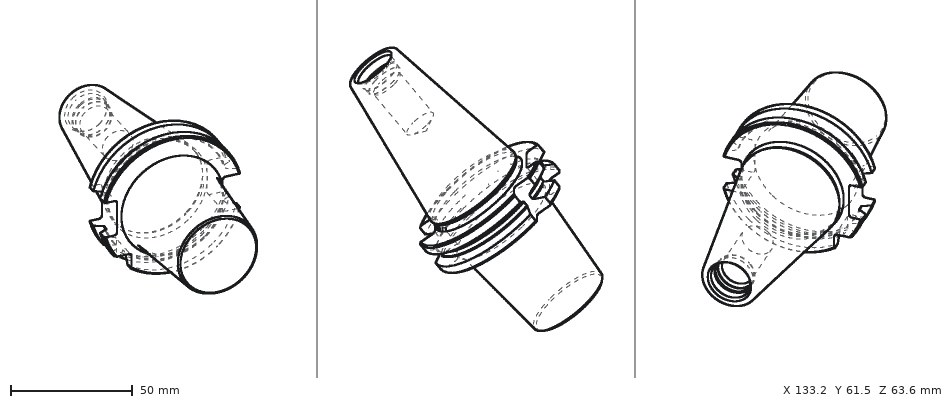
import cadquery as cq
import math

length = 133.2
taper_end = 67.7
neck_start = 68.9
neck_end = 70.5
flange_start = 71.7
flange_end = 87.1
shank_start = 90.0

small_end_radius = 12.3
gauge_radius = 22.3
neck_radius = 21.9
collar_radius = 22.7
flange_radius = 31.78
shoulder_radius = 23.0
shank_radius = 21.5
shank_end_radius = 17.9
end_chamfer = 0.8
end_round = 0.9
flange_chamfer = 0.7
shoulder_fillet = 4.0
neck_fillet = 1.3

groove_center = 79.4
groove_radius = 28.1
groove_floor_width = 2.1
groove_floor_fillet = 0.4
groove_wall_angle = 30.0

slot_half_width = 8.1
front_slot_depth_y = 24.9
back_slot_depth_y = 22.5
slot_fillet = 1.5
notch_y = -18.4
notch_z = -18.4

mouth_radius = 9.6
mouth_depth = 1.3
counterbore_radius = 8.7
counterbore_depth = 5.0
counterbore_step_length = 0.4
pilot_radius = 8.3
pilot_depth = 7.7
drill_radius = 6.9
drill_chamfer_radius = 8.0
drill_chamfer_depth = 1.6
drill_depth = 32.0
drill_point_angle = 118.0


def turned_body():
    """Solid of revolution about the X axis."""
    shank_slope = (shank_radius - shank_end_radius) / (length - shank_start)
    shank_rim_radius = shank_end_radius + shank_slope * end_chamfer
    half_floor = groove_floor_width / 2
    wall_angle = math.radians(groove_wall_angle)
    half_wall_foot = half_floor + groove_floor_fillet * math.cos(wall_angle)
    wall_foot_radius = groove_radius + groove_floor_fillet * (1 - math.sin(wall_angle))
    half_mouth = half_wall_foot + (flange_radius - wall_foot_radius) * math.tan(wall_angle)
    profile = (
        cq.Workplane("XY")
        .lineTo(0, small_end_radius)
        .lineTo(taper_end, gauge_radius)
        .lineTo(neck_start, neck_radius)
        .lineTo(neck_end, neck_radius)
        .radiusArc((flange_start, collar_radius), -neck_fillet)
        .lineTo(flange_start, flange_radius - flange_chamfer)
        .lineTo(flange_start + flange_chamfer, flange_radius)
        .lineTo(groove_center - half_mouth, flange_radius)
        .lineTo(groove_center - half_wall_foot, wall_foot_radius)
        .radiusArc((groove_center - half_floor, groove_radius), -groove_floor_fillet)
        .lineTo(groove_center + half_floor, groove_radius)
        .radiusArc((groove_center + half_wall_foot, wall_foot_radius), -groove_floor_fillet)
        .lineTo(groove_center + half_mouth, flange_radius)
        .lineTo(flange_end - flange_chamfer, flange_radius)
        .lineTo(flange_end, flange_radius - flange_chamfer)
        .lineTo(flange_end, shoulder_radius)
        .radiusArc((shank_start, shank_radius), -shoulder_fillet)
        .lineTo(length - end_chamfer, shank_rim_radius)
        .lineTo(length, shank_end_radius - end_chamfer)
        .lineTo(length, 0)
        .close()
    )
    body = profile.revolve(360, (0, 0, 0), (1, 0, 0))
    return body.faces("<X").edges().fillet(end_round)


def bore():
    """Chamfered, stepped hole with a conical drill point."""
    point_depth = drill_radius / math.tan(math.radians(drill_point_angle / 2))
    profile = (
        cq.Workplane("XY")
        .lineTo(0, mouth_radius)
        .lineTo(mouth_depth, counterbore_radius)
        .lineTo(counterbore_depth, counterbore_radius)
        .lineTo(counterbore_depth + counterbore_step_length, pilot_radius)
        .lineTo(pilot_depth, pilot_radius)
        .lineTo(pilot_depth, drill_chamfer_radius)
        .lineTo(pilot_depth + drill_chamfer_depth, drill_radius)
        .lineTo(drill_depth, drill_radius)
        .lineTo(drill_depth + point_depth, 0)
        .close()
    )
    return profile.revolve(360, (0, 0, 0), (1, 0, 0))


def flange_cutter(y_min, y_max, z_min, z_max, filleted_edges):
    """Block across the flange width with its inner corners rounded."""
    return (
        cq.Workplane("XY")
        .box(flange_end - flange_start, y_max - y_min, z_max - z_min, centered=False)
        .translate((flange_start, y_min, z_min))
        .edges(filleted_edges)
        .fillet(slot_fillet)
    )


front_slot = flange_cutter(
    -flange_radius, -front_slot_depth_y, -slot_half_width, slot_half_width, "|X and >Y"
)
back_slot = flange_cutter(
    back_slot_depth_y, flange_radius, -slot_half_width, slot_half_width, "|X and <Y"
)
notch = flange_cutter(-flange_radius, notch_y, -flange_radius, notch_z, "|X and >Y and >Z")

result = turned_body().cut(bore()).cut(front_slot).cut(back_slot).cut(notch)